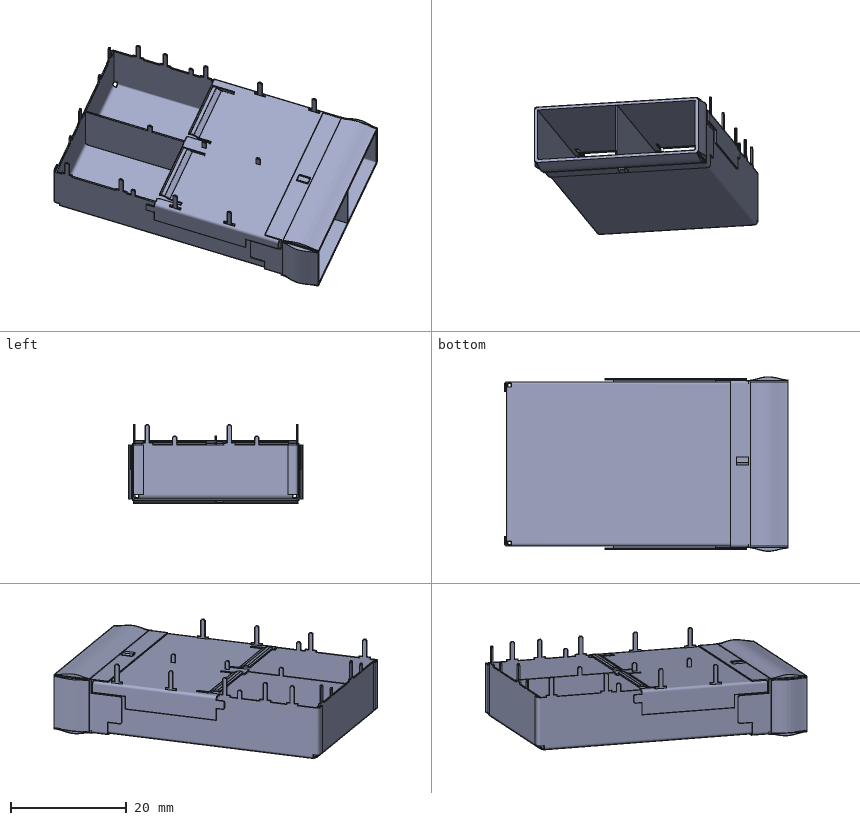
import cadquery as cq


OVERALL_LENGTH = 49.03
OVERALL_WIDTH = 30.15
OVERALL_HEIGHT = 13.58
SHEET = 0.25

SHELL_WIDTH = 28.4
SHELL_HEIGHT = 9.4
BEND_RADIUS = 0.5
REAR_BEND_RADIUS = 0.8
RELIEF_LENGTH = 1.15
RELIEF_WIDTH = 0.85
REAR_TAB_REACH = 1.7
REAR_TAB_BOTTOM = 0.8
REAR_WALL_GAP = 0.1
REAR_WALL_X = SHEET + REAR_WALL_GAP

LID_START = 18.85
LID_END = 41.8
LID_OUTER_WIDTH = 29.5
FLANGE_BOTTOM = 5.1
FLANGE_STEP_X = 35.75
FLANGE_STEP_BOTTOM = 7.4
EAR_START = 17.35
EAR_BOTTOM = 7.25
EAR_TOP = 8.75
EAR_CORNER_RADIUS = 0.3
LID_MIDDLE_TAB_HALF_WIDTH = 1.2
LID_TAB_CORNER_RADIUS = 0.3
SLOT_LENGTH = 4.3
SLOT_WIDTH = 0.4
OUTER_SLOT_WIDTH = 0.55
SPRING_LIP_OUTER_Y = 12.6
SPRING_LIP_SETBACK = 0.1
SPRING_LIP_OPENING = 2.0
SPRING_LIP_CORNERS = [(0.0, 0.0), (0.3, 0.15), (0.95, 0.45), (1.6, 0.5), (1.95, 0.35)]

COLLAR_START = 39.1
COLLAR_SIDE_START = 42.15
COLLAR_SHEET = 0.2
COLLAR_BEND_RADIUS = 0.5
EAR_PLATE_START = 36.5
EAR_PLATE_TOP = 7.1
EAR_PLATE_BOTTOM = 2.15
EAR_PLATE_RADIUS = 0.4
CLIP_START = 40.1
CLIP_LENGTH = 2.05
CLIP_WIDTH = 1.4
CLIP_EDGE_Y = 0.15
CLIP_RAMP = 0.4
CLIP_EDGE_HEIGHT = 0.1
CLIP_RISE = 0.3

STRIP_START = 42.5
STRIP_PEAK_X = 45.6
STRIP_Y_RISE = (OVERALL_WIDTH - SHELL_WIDTH) / 2
STRIP_CORNERS = [
    (-2.3, 0.48), (-1.2, 0.84), (-0.4, 1.0), (0.4, 1.0),
    (1.25, 0.84), (2.2, 0.58), (2.9, 0.42),
]
STRIP_FOOT = 0.38
STRIP_FOOT_LENGTH = 0.3
STRIP_Z_RISE = 0.72

PIN_TOP = OVERALL_HEIGHT - STRIP_Z_RISE
SHORT_PIN_RISE = 1.5
SHORT_PIN_TOP = SHELL_HEIGHT + SHORT_PIN_RISE
PIN_WIDTH = 0.75
PIN_TIP = 0.25
PIN_TIP_WIDTH = 0.3
SHOULDER_WIDTH = 2.0
SHOULDER_HEIGHT = 0.3
PIN_ROOT = 0.5
NEAR_PIN_X = [2.5, 12.5, 22.5, 32.5]
FAR_PIN_X = [5.0, 10.0, 17.5, 27.5, 37.5]
DIVIDER_PIN_X = [12.5, 22.5, 32.5]
SHORT_SIDE_PIN_X = 14.75
BAY_PITCH = 14.2
REAR_PIN_OFFSET = 4.75

HALF_WIDTH = SHELL_WIDTH / 2
HALF_LID = LID_OUTER_WIDTH / 2


def block(x0, x1, y0, y1, z0, z1):
    """Box given by its limits on each axis."""
    return cq.Workplane("XY").box(x1 - x0, y1 - y0, z1 - z0, centered=False).translate((x0, y0, z0))


def side_plate(points, y_inner, y_outer):
    """Flat plate with an XZ outline, lying between two Y values."""
    return cq.Workplane("XZ").polyline(points).close().extrude(y_inner - y_outer).translate((0, y_inner, 0))


def both_sides(body):
    """The body together with its mirror image across Y = 0."""
    return body.union(body.mirror("XZ"))


def rounded_bottom(x0, side_inset, side_radius, rear_radius, z0, z1):
    """Box open-ended towards +X with its lower rear and lower side edges rounded."""
    half = HALF_WIDTH - side_inset
    body = block(x0, OVERALL_LENGTH, -half, half, z0, z1)
    body = body.edges("|X and <Z").fillet(side_radius)
    rear_cutter = block(x0, OVERALL_LENGTH, -half, half, z0, z1).edges("|Y and <X and <Z").fillet(rear_radius)
    return body.intersect(rear_cutter)


def make_shell():
    """Open-topped tray with rounded bends, rear corner reliefs and the divider between bays."""
    outer = rounded_bottom(REAR_WALL_X, 0, BEND_RADIUS, REAR_BEND_RADIUS, 0, SHELL_HEIGHT)
    inner = rounded_bottom(
        REAR_WALL_X + SHEET, SHEET, BEND_RADIUS - SHEET, REAR_BEND_RADIUS - SHEET,
        SHEET, SHELL_HEIGHT,
    )
    shell = outer.cut(inner)
    floor_relief = block(0, RELIEF_LENGTH, HALF_WIDTH - RELIEF_WIDTH, HALF_WIDTH, 0, REAR_TAB_BOTTOM)
    wrapped_corner = block(0, RELIEF_LENGTH, HALF_WIDTH - SHEET, HALF_WIDTH, 0, SHELL_HEIGHT)
    shell = shell.cut(both_sides(floor_relief)).cut(both_sides(wrapped_corner))
    divider = block(REAR_WALL_X + SHEET, OVERALL_LENGTH, -SHEET / 2, SHEET / 2, SHEET, SHELL_HEIGHT)
    return shell.union(divider.intersect(outer))


def make_rear_corner():
    """Side wall end wrapped round the outside of the rear wall."""
    outer = block(0, RELIEF_LENGTH, HALF_WIDTH - REAR_TAB_REACH, HALF_WIDTH,
                  REAR_TAB_BOTTOM, SHELL_HEIGHT)
    outer = outer.edges("|Z and <X and >Y").fillet(BEND_RADIUS)
    inner = block(SHEET, RELIEF_LENGTH, HALF_WIDTH - REAR_TAB_REACH, HALF_WIDTH - SHEET,
                  REAR_TAB_BOTTOM, SHELL_HEIGHT)
    inner = inner.edges("|Z and <X and >Y").fillet(BEND_RADIUS - SHEET)
    return outer.cut(inner)


def make_lid():
    """Channel-shaped lid with stepped side flanges, front slots and spring lips."""
    outer = block(EAR_START, LID_END, -HALF_LID, HALF_LID, FLANGE_BOTTOM, SHELL_HEIGHT)
    outer = outer.edges("|X and >Z").fillet(BEND_RADIUS)
    inner = block(EAR_START, LID_END, SHEET - HALF_LID, HALF_LID - SHEET, FLANGE_BOTTOM, SHELL_HEIGHT - SHEET)
    inner = inner.edges("|X and >Z").fillet(BEND_RADIUS - SHEET)
    channel = outer.cut(inner)

    flange_outline = side_plate(
        [
            (LID_START, SHELL_HEIGHT), (LID_START, FLANGE_BOTTOM),
            (FLANGE_STEP_X, FLANGE_BOTTOM), (FLANGE_STEP_X, FLANGE_STEP_BOTTOM),
            (LID_END, FLANGE_STEP_BOTTOM), (LID_END, SHELL_HEIGHT),
        ],
        -HALF_LID, HALF_LID,
    )
    ear = block(EAR_START, LID_START + SHEET, -HALF_LID, HALF_LID, EAR_BOTTOM, EAR_TOP)
    ear = ear.edges("|Y and <X").fillet(EAR_CORNER_RADIUS)
    lid = channel.intersect(flange_outline.union(ear))

    lip_z = SHELL_HEIGHT - SHEET
    lip_end = LID_START + SPRING_LIP_SETBACK + SPRING_LIP_OPENING
    lip_inner_y = LID_MIDDLE_TAB_HALF_WIDTH + SLOT_WIDTH
    slot_end = LID_START + SLOT_LENGTH
    for slot_y, width in ((LID_MIDDLE_TAB_HALF_WIDTH, SLOT_WIDTH), (SPRING_LIP_OUTER_Y, OUTER_SLOT_WIDTH)):
        slot = block(EAR_START, slot_end, slot_y, slot_y + width, lip_z, SHELL_HEIGHT)
        lid = lid.cut(both_sides(slot))
    opening = block(EAR_START, lip_end, lip_inner_y, SPRING_LIP_OUTER_Y, lip_z, SHELL_HEIGHT)
    lid = lid.cut(both_sides(opening))
    tab_front = cq.selectors.BoxSelector(
        (LID_START - SHEET, -HALF_LID + BEND_RADIUS, 0),
        (LID_START + SHEET / 2, HALF_LID - BEND_RADIUS, SHELL_HEIGHT),
    )
    lid = lid.edges("|Z").edges(tab_front).fillet(LID_TAB_CORNER_RADIUS)
    return lid.union(both_sides(make_spring_lip(lip_inner_y, lip_end)))


def make_spring_lip(y_inner, x_end):
    """Curled front edge of the lid over one bay: a folded strip of sheet."""
    upper = [(x_end - back, SHELL_HEIGHT + rise) for back, rise in SPRING_LIP_CORNERS]
    lower = [(x, z - SHEET) for x, z in reversed(upper)]
    return side_plate(upper + lower, y_inner, SPRING_LIP_OUTER_Y)


def make_collar():
    """Sleeve round the mouth with a side ear plate on each wall and a latch above and below."""
    half_outer = HALF_WIDTH + COLLAR_SHEET
    z_limits = (-COLLAR_SHEET, SHELL_HEIGHT + COLLAR_SHEET)
    sleeve = block(COLLAR_START, COLLAR_SIDE_START, -half_outer, half_outer, *z_limits)
    sleeve = sleeve.edges("|X and <Z").fillet(COLLAR_BEND_RADIUS)
    ring = sleeve.union(block(COLLAR_SIDE_START, OVERALL_LENGTH, -half_outer, half_outer, *z_limits))
    side_corners = both_sides(
        block(COLLAR_START, COLLAR_SIDE_START, HALF_WIDTH, half_outer,
              EAR_PLATE_TOP, SHELL_HEIGHT + COLLAR_SHEET)
    )
    mouth = block(COLLAR_START, OVERALL_LENGTH, SHEET - HALF_WIDTH, HALF_WIDTH - SHEET,
                  SHEET, SHELL_HEIGHT - SHEET)
    ring = ring.cut(side_corners).cut(mouth)
    ear = block(EAR_PLATE_START, COLLAR_SIDE_START, HALF_WIDTH, half_outer, EAR_PLATE_BOTTOM, EAR_PLATE_TOP)
    ear = ear.edges("|Y and <X").fillet(EAR_PLATE_RADIUS)
    clip = make_clip()
    for part in (both_sides(ear), clip, flip_vertical(clip)):
        ring = ring.union(part)
    return ring


def flip_vertical(body):
    """Mirror image of the body across the middle height of the shell."""
    return body.mirror("XY", (0, 0, SHELL_HEIGHT / 2))


def make_clip():
    """Small raised latch on the collar, ramped on its +Y side."""
    base = SHELL_HEIGHT + COLLAR_SHEET
    crest = base + CLIP_RISE
    return (
        cq.Workplane("YZ")
        .polyline([
            (0, base), (0, base + CLIP_EDGE_HEIGHT), (-CLIP_RAMP, crest),
            (-CLIP_WIDTH, crest), (-CLIP_WIDTH, base),
        ])
        .close()
        .extrude(CLIP_LENGTH)
        .translate((CLIP_START, CLIP_EDGE_Y, 0))
    )


def strip_outline(rise):
    """Profile of a bulged strip as (X, height above the shell face) points."""
    foot = rise * STRIP_FOOT
    outer = [(STRIP_START, foot), (STRIP_START + STRIP_FOOT_LENGTH, foot)]
    outer += [(STRIP_PEAK_X + offset, rise * share) for offset, share in STRIP_CORNERS]
    outer += [(OVERALL_LENGTH, foot)]
    return [(STRIP_START, 0)] + outer + [(OVERALL_LENGTH, 0)]


def make_strips():
    """The four bulged contact strips: top, bottom and both sides."""
    top = (
        cq.Workplane("XZ")
        .polyline(strip_outline(STRIP_Z_RISE))
        .close()
        .extrude(SHELL_WIDTH / 2, both=True)
        .translate((0, 0, SHELL_HEIGHT))
    )
    side = (
        cq.Workplane("XY")
        .polyline(strip_outline(STRIP_Y_RISE))
        .close()
        .extrude(SHELL_HEIGHT)
        .translate((0, HALF_WIDTH, 0))
    )
    return [top, flip_vertical(top), side, side.mirror("XZ")]


def make_pin(top, shoulder_width):
    """Flat solder pin in the XZ plane, centred on X = 0, with a tapered tip."""
    half = PIN_WIDTH / 2
    root = SHELL_HEIGHT - PIN_ROOT
    blade = (
        cq.Workplane("XZ")
        .polyline([
            (-half, root), (-half, top - PIN_TIP), (-PIN_TIP_WIDTH / 2, top),
            (PIN_TIP_WIDTH / 2, top), (half, top - PIN_TIP), (half, root),
        ])
        .close()
        .extrude(SHEET / 2, both=True)
    )
    if shoulder_width:
        half_shoulder = shoulder_width / 2
        blade = blade.union(
            block(-half_shoulder, half_shoulder, -SHEET / 2, SHEET / 2, root, SHELL_HEIGHT + SHOULDER_HEIGHT)
        )
    return blade


def make_pins():
    """All solder pins, standing on the side walls, divider and rear wall."""
    tall = make_pin(PIN_TOP, SHOULDER_WIDTH)
    short = make_pin(SHORT_PIN_TOP, 0)
    wall_y = HALF_WIDTH - SHEET / 2
    pins = [tall.translate((x, -wall_y, 0)) for x in NEAR_PIN_X]
    pins += [tall.translate((x, wall_y, 0)) for x in FAR_PIN_X]
    pins += [short.translate((SHORT_SIDE_PIN_X, y, 0)) for y in (-wall_y, wall_y)]
    pins += [short.translate((x, 0, 0)) for x in DIVIDER_PIN_X]

    rear_x = REAR_WALL_X + SHEET / 2
    tall_rear = tall.rotate((0, 0, 0), (0, 0, 1), 90)
    short_rear = short.rotate((0, 0, 0), (0, 0, 1), 90)
    for bay_y in (-BAY_PITCH / 2, BAY_PITCH / 2):
        pins.append(short_rear.translate((rear_x, bay_y, 0)))
        pins.append(tall_rear.translate((rear_x, bay_y + REAR_PIN_OFFSET, 0)))
    return pins


result = make_shell().union(both_sides(make_rear_corner())).union(make_lid()).union(make_collar())
for piece in make_strips() + make_pins():
    result = result.union(piece)